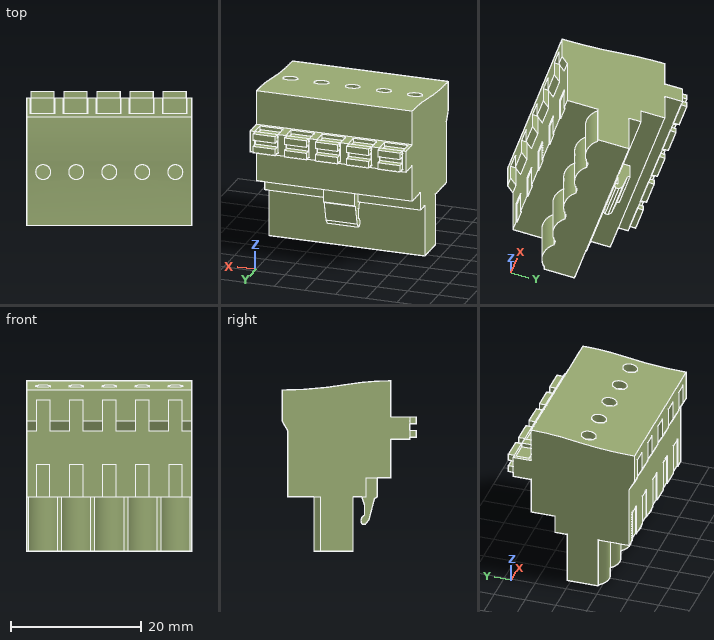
import cadquery as cq
import math

POLE_COUNT = 5
WIDTH = 25.4
PITCH = WIDTH / POLE_COUNT
POLE_CENTRES = [PITCH * (i - (POLE_COUNT - 1) / 2) for i in range(POLE_COUNT)]

BLOCK_BACK_Y = 16.75
BLOCK_BOTTOM_Z = 8.37
TOP_BACK_Z = 26.25
TOP_FRONT_Z = 24.82
TOP_CREST_DEPTH = 6.87
STEP_Y = 12.88
STEP_Z = 11.3

FRONT_FACE_Y = 0.87
BROW_BOTTOM_Z = 20.02
BROW_FOOT_Z = 18.5
BROW_SLOT_WIDTH = 2.13
BROW_SLOT_TOP_Z = 23.3

RECESS_WIDTH = 2.02
RECESS_TOP_Z = 13.38
RECESS_DEPTH = 0.15

HOLE_DIAMETER = 2.28
HOLE_Y = 8.25
HOLE_FLOOR_Z = 24.04

PLUG_BACK_Y = 10.92
PLUG_FRONT_Y = 5.9
BULGE_WIDTH = 4.45
BULGE_RISE = 1.02

LEDGE_BACK_Y = 19.65
LEDGE_TOP_Z = 20.68
LEDGE_BOTTOM_Z = 17.21
POCKET_WIDTH = 3.8
POCKET_SHIFT = -0.1
POCKET_FRONT_Y = 17.25

BUTTON_WIDTH = 3.6
BUTTON_BACK_Y = 20.65
BUTTON_BOTTOM_Z = 17.53
BUTTON_SINK = 0.6
LIP_HEIGHT = 1.08

LATCH_WIDTH = PITCH
LATCH_BACK_Y = 14.65
LATCH_ROOT_Y = 12.23
LATCH_NECK = (14.22, 8.1)
LATCH_ELBOW = (13.38, 4.88)
LATCH_TIP_BACK = (12.8, 4.15)
LATCH_TIP_FRONT = (12.33, 4.15)
LATCH_NOSE = (12.12, 4.8)
LATCH_THROAT_BOTTOM = (12.65, 5.55)
LATCH_THROAT_TOP = (12.65, 7.15)


def box(width, front_y, back_y, bottom_z, top_z, centre_x=0):
    """Block of the given width, centred on centre_x."""
    return cq.Workplane("XY").box(
        width, back_y - front_y, top_z - bottom_z, centered=(True, False, False)
    ).translate((centre_x, front_y, bottom_z))


def side_profile(width):
    """Sketch plane with axes Y and Z at the low-X end of a part centred on X = 0."""
    return cq.Workplane("YZ", origin=(-width / 2, 0, 0))


def level_arc_middle(level_y, level_z, end_y, end_z):
    """Middle point of an arc that leaves (level_y, level_z) horizontally and stops at (end_y, end_z)."""
    run = end_y - level_y
    rise = end_z - level_z
    radius = (run**2 + rise**2) / (2 * rise)
    half_angle = math.atan(rise / run)
    return (
        level_y + radius * math.sin(half_angle),
        level_z + radius * (1 - math.cos(half_angle)),
    )


def make_block():
    """Main block: S-curved top, brow at the front, notch at the lower rear."""
    crest_y = BLOCK_BACK_Y - TOP_CREST_DEPTH
    crest_z = TOP_BACK_Z - (TOP_BACK_Z - TOP_FRONT_Z) * TOP_CREST_DEPTH / BLOCK_BACK_Y
    return (
        side_profile(WIDTH)
        .moveTo(0, TOP_FRONT_Z)
        .lineTo(0, BROW_BOTTOM_Z)
        .lineTo(FRONT_FACE_Y, BROW_FOOT_Z)
        .lineTo(FRONT_FACE_Y, BLOCK_BOTTOM_Z)
        .lineTo(STEP_Y, BLOCK_BOTTOM_Z)
        .lineTo(STEP_Y, STEP_Z)
        .lineTo(BLOCK_BACK_Y, STEP_Z)
        .lineTo(BLOCK_BACK_Y, TOP_BACK_Z)
        .threePointArc(level_arc_middle(BLOCK_BACK_Y, TOP_BACK_Z, crest_y, crest_z), (crest_y, crest_z))
        .threePointArc(level_arc_middle(0, TOP_FRONT_Z, crest_y, crest_z), (0, TOP_FRONT_Z))
        .close()
        .extrude(WIDTH)
    )


def make_plug():
    """Bar below the block with a rounded bulge in front of each pole."""
    plug = box(WIDTH, PLUG_FRONT_Y, PLUG_BACK_Y, 0, BLOCK_BOTTOM_Z)
    for x in POLE_CENTRES:
        bulge = (
            cq.Workplane("XY")
            .moveTo(x - BULGE_WIDTH / 2, PLUG_FRONT_Y)
            .threePointArc((x, PLUG_FRONT_Y - BULGE_RISE), (x + BULGE_WIDTH / 2, PLUG_FRONT_Y))
            .close()
            .extrude(BLOCK_BOTTOM_Z)
        )
        plug = plug.union(bulge)
    return plug


def make_latch():
    """Hook in the notch, curving down and forward to a rounded nose."""
    return (
        side_profile(LATCH_WIDTH)
        .moveTo(STEP_Y, STEP_Z)
        .lineTo(LATCH_BACK_Y, STEP_Z)
        .lineTo(LATCH_BACK_Y, BLOCK_BOTTOM_Z)
        .lineTo(*LATCH_NECK)
        .lineTo(*LATCH_ELBOW)
        .lineTo(*LATCH_TIP_BACK)
        .lineTo(*LATCH_TIP_FRONT)
        .threePointArc(LATCH_NOSE, LATCH_THROAT_BOTTOM)
        .lineTo(*LATCH_THROAT_TOP)
        .lineTo(LATCH_ROOT_Y, BLOCK_BOTTOM_Z)
        .lineTo(STEP_Y, BLOCK_BOTTOM_Z)
        .close()
        .extrude(LATCH_WIDTH)
    )


def make_housing():
    """Housing: block, plug, rear ledge and latch, less the cuts repeated at every pole."""
    ledge = box(WIDTH, BLOCK_BACK_Y, LEDGE_BACK_Y, LEDGE_BOTTOM_Z, LEDGE_TOP_Z)
    housing = make_block().union(make_plug()).union(ledge).union(make_latch())
    for x in POLE_CENTRES:
        brow_slot = box(BROW_SLOT_WIDTH, 0, FRONT_FACE_Y, BROW_FOOT_Z, BROW_SLOT_TOP_Z, x)
        recess = box(
            RECESS_WIDTH, FRONT_FACE_Y, FRONT_FACE_Y + RECESS_DEPTH, BLOCK_BOTTOM_Z, RECESS_TOP_Z, x
        )
        hole = (
            cq.Workplane("XY", origin=(x, HOLE_Y, HOLE_FLOOR_Z))
            .circle(HOLE_DIAMETER / 2)
            .extrude(TOP_BACK_Z - HOLE_FLOOR_Z)
        )
        pocket_x = x + POCKET_SHIFT
        pocket = box(POCKET_WIDTH, POCKET_FRONT_Y, LEDGE_BACK_Y, BUTTON_BOTTOM_Z, LEDGE_TOP_Z, pocket_x)
        housing = housing.cut(brow_slot).cut(recess).cut(hole).cut(pocket)
    return housing


def make_button(x):
    """Push button: a block resting in the pocket and two lips, one above the other, behind it."""
    button = box(
        BUTTON_WIDTH, POCKET_FRONT_Y, LEDGE_BACK_Y, BUTTON_BOTTOM_Z, LEDGE_TOP_Z - BUTTON_SINK, x
    )
    for lip_bottom in (BUTTON_BOTTOM_Z, LEDGE_TOP_Z - LIP_HEIGHT):
        lip = box(BUTTON_WIDTH, LEDGE_BACK_Y, BUTTON_BACK_Y, lip_bottom, lip_bottom + LIP_HEIGHT, x)
        button = button.union(lip)
    return button


housing = make_housing()
buttons = [make_button(x + POCKET_SHIFT) for x in POLE_CENTRES]

result = cq.Compound.makeCompound([housing.val(), *[button.val() for button in buttons]])